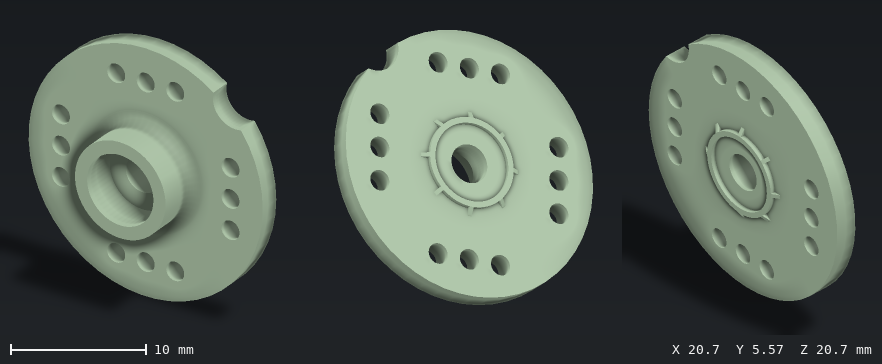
import cadquery as cq
import math

disc_diameter = 20.68
disc_thickness = 1.8
notch_radius = 2.0
notch_offset = 7.95

boss_diameter = 8.0
boss_length = 3.37
boss_fillet = 1.0
socket_diameter = 5.85
socket_depth = 3.0
bore_diameter = 3.0

hole_diameter = 1.6
row_offset = 7.49
hole_pitch = 2.6
side_count = 4

collar_diameter = 7.0
collar_bore_diameter = 6.1
collar_height = 0.4
rib_count = 8
rib_thickness = 0.33
rib_top_radius = collar_diameter / 2
rib_foot_radius = 4.1


def cylinder(diameter, y_start, y_end, x=0, z=0):
    """Cylinder along Y between two Y positions."""
    centre = cq.Vector(x, y_start, z)
    return cq.Workplane(cq.Solid.makeCylinder(diameter / 2, y_end - y_start, centre, cq.Vector(0, 1, 0)))


def make_flange_and_boss():
    """Revolve the disc and boss together, with a concave fillet between them."""
    disc_radius = disc_diameter / 2
    boss_radius = boss_diameter / 2
    fillet_middle = boss_fillet * (1 - math.sqrt(0.5))
    return (
        cq.Workplane("XY")
        .moveTo(0, -boss_length)
        .lineTo(boss_radius, -boss_length)
        .lineTo(boss_radius, -boss_fillet)
        .threePointArc(
            (boss_radius + fillet_middle, -fillet_middle),
            (boss_radius + boss_fillet, 0),
        )
        .lineTo(disc_radius, 0)
        .lineTo(disc_radius, disc_thickness)
        .lineTo(0, disc_thickness)
        .close()
        .revolve(360, (0, 0, 0), (0, 1, 0))
    )


def make_collar():
    """Low ring on the back face, braced by sloping radial ribs."""
    collar_top = disc_thickness + collar_height
    collar = cylinder(collar_diameter, disc_thickness, collar_top)
    rib_inner_radius = (collar_diameter + collar_bore_diameter) / 4
    rib = (
        cq.Workplane("XY")
        .moveTo(rib_inner_radius, disc_thickness)
        .lineTo(rib_foot_radius, disc_thickness)
        .lineTo(rib_top_radius, collar_top)
        .lineTo(rib_inner_radius, collar_top)
        .close()
        .extrude(rib_thickness / 2, both=True)
    )
    for i in range(rib_count):
        collar = collar.union(rib.rotate((0, 0, 0), (0, 1, 0), i * 360 / rib_count))
    return collar.cut(cylinder(collar_bore_diameter, disc_thickness, collar_top))


def cut_mounting_holes(body):
    for side in range(side_count):
        for step in (-1, 0, 1):
            hole = cylinder(hole_diameter, 0, disc_thickness, step * hole_pitch, row_offset)
            body = body.cut(hole.rotate((0, 0, 0), (0, 1, 0), side * 360 / side_count))
    return body


body = make_flange_and_boss().union(make_collar())

body = body.cut(cylinder(socket_diameter, -boss_length, socket_depth - boss_length))
body = body.cut(cylinder(bore_diameter, -boss_length, disc_thickness))

body = cut_mounting_holes(body)

notch = cylinder(2 * notch_radius, 0, disc_thickness, notch_offset, notch_offset)
result = body.cut(notch)